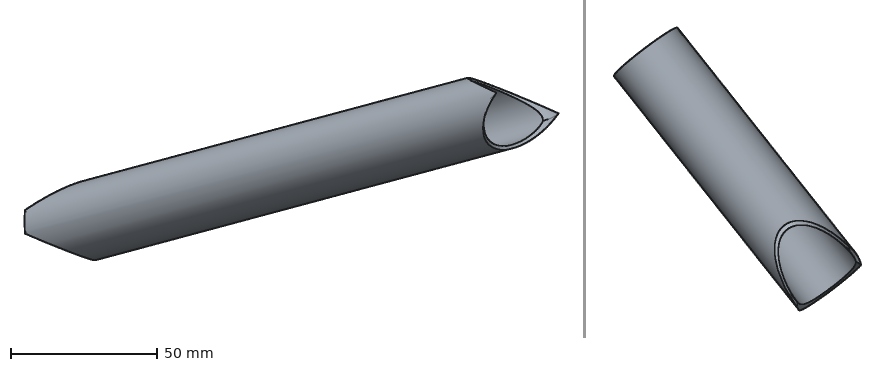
import cadquery as cq
import math

span_x = 180.2
span_y = 114.5
span_z = 167.3
tube_radius = 13.7
wall = 1.3
post_elevation = 56.2
strut_elevation = 19.0
cope_length = 109.5

upper_node = cq.Vector(0, 0, 0)
lower_node = cq.Vector(-span_x, -span_y, -span_z)
brace_direction = upper_node - lower_node
chord_direction = cq.Vector(1, 0, 0)
twin_direction = cq.Vector(-span_x, span_y, span_z)


def direction_in_yz(elevation, y_side):
    """Unit direction in the YZ plane, leaning toward +Y (1) or -Y (-1)."""
    angle = math.radians(elevation)
    return cq.Vector(0, y_side * math.cos(angle), math.sin(angle))


def one_way_rod(node, direction, radius, length):
    """Solid cylinder starting at a node."""
    return cq.Workplane(cq.Solid.makeCylinder(radius, length, node, direction))


def through_rod(node, direction, radius, reach):
    """Solid cylinder centred on a node, reaching equally both ways."""
    start = node - direction.normalized() * reach
    return one_way_rod(start, direction, radius, 2 * reach)


def brace_tube():
    """Hollow tube spanning from node to node."""
    length = brace_direction.Length
    outer = one_way_rod(lower_node, brace_direction, tube_radius, length)
    bore = one_way_rod(lower_node, brace_direction, tube_radius - wall, length)
    return outer.cut(bore)


result = brace_tube()

copes = [
    (upper_node, chord_direction),
    (upper_node, twin_direction),
    (lower_node, chord_direction),
    (lower_node, direction_in_yz(post_elevation, 1)),
]
for node, direction in copes:
    result = result.cut(through_rod(node, direction, tube_radius, cope_length))

strut_direction = direction_in_yz(strut_elevation, -1)
result = result.cut(one_way_rod(lower_node, strut_direction, tube_radius, cope_length))